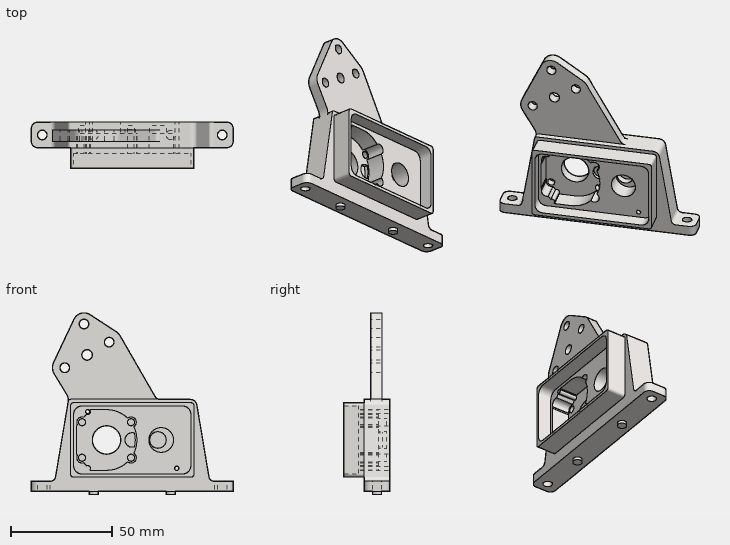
import cadquery as cq


foot_length = 99.87
foot_depth = 12.7
foot_height = 5.08
foot_corner_radius = 3.175
foot_hole_spacing = 88.9
foot_hole_diameter = 4.62
peg_spacing = 38.1
peg_diameter = 4.62
peg_length = 1.6

upright_proud = 0.07
upright_top = 45.5
upright_top_half = 31.5
upright_foot_half = 38.3
upright_foot_fillet = 2.3
upright_left_radius = 1.4
upright_right_radius = 3.5

housing_length = 60.96
housing_height = 36.83
housing_depth = 10.16
housing_center_z = 25.37
housing_corner_radius = 1.5
cavity_length = 57.9
cavity_height = 33.55
cavity_depth = 7.35
cavity_corner_radius = 4.0

front_y = -(foot_depth + housing_depth)
cavity_floor_y = front_y + cavity_depth

shaft_offset = 12.7
motor_x = -shaft_offset
motor_hole_diameter = 13.9
pocket_depth = 9.8
pocket_radius = 15.0
pocket_left = 14.85
pocket_chamfer_x = 6.8
pocket_chamfer_z = 8.0
screw_half_x = 12.1
screw_half_z = 8.77
screw_hole_diameter = 3.5
screw_hole_depth = 4.0
screw_relief_radius = 2.6
pin_boss_radius = 1.35
recess_diameter = 7.2
recess_reach = 14.2
recess_depth = 2.0

pocket_floor_y = cavity_floor_y + pocket_depth

bore_x = 14.3
bore_diameter = 12.23
bore_depth = pocket_depth
inner_bore_diameter = 8.2
inner_bore_depth = 4.0

pin_half_x = 22.0
pin_half_z = 14.0
pin_hole_diameter = 2.0

arm_rear_gap = 3.84
arm_thickness = 5.7
arm_peak = (-26.13, 90.8)
arm_shoulder = (-6.67, 78.1)
arm_elbow = (-40.28, 60.77)
arm_right_root_x = 12.11
arm_left_root_z = 46.1
arm_embed = 5.0
arm_foot_length = 2.5
arm_peak_radius = 5.55
arm_shoulder_radius = 6.0
arm_elbow_radius = 6.0
arm_right_root_fillet = 2.54
arm_left_root_fillet = 5.5
arm_hole_diameter = 4.62
arm_holes = [(-23.85, 82.65), (-11.4, 73.7), (-33.35, 61.05)]
arm_pivot_diameter = 5.08
arm_pivot = (-22.3, 67.4)

edge_reach = 0.2


def prism(sketch, y_start, depth):
    """Extrude an XZ outline from y_start toward +Y by depth."""
    return sketch.extrude(-depth).translate((0, y_start, 0))


def xz():
    return cq.Workplane("XZ")


def cylinder(x, z, diameter, y_start, depth):
    return prism(xz().center(x, z).circle(diameter / 2), y_start, depth)


def rounded_block(length, height, radius, y_start, depth):
    block = prism(xz().center(0, housing_center_z).rect(length, height), y_start, depth)
    return block.edges("|Y").fillet(radius)


def round_corner(body, x, z, radius):
    """Fillet the edge along Y that passes through (x, z)."""
    picker = cq.selectors.BoxSelector(
        (x - edge_reach, -foot_depth, z - edge_reach),
        (x + edge_reach, foot_depth, z + edge_reach),
    )
    return body.edges("|Y").edges(picker).fillet(radius)


def make_foot():
    foot = cq.Workplane("XY").box(foot_length, foot_depth, foot_height, centered=(True, True, False))
    foot = foot.edges("|Z").fillet(foot_corner_radius)
    hole_points = [(-foot_hole_spacing / 2, 0), (foot_hole_spacing / 2, 0)]
    foot = foot.faces(">Z").workplane(origin=(0, 0, 0)).pushPoints(hole_points).hole(foot_hole_diameter)
    peg_points = [(-peg_spacing / 2, 0), (peg_spacing / 2, 0)]
    pegs = cq.Workplane("XY").pushPoints(peg_points).circle(peg_diameter / 2).extrude(-peg_length)
    return foot.union(pegs).translate((0, -foot_depth / 2, 0))


def upright_half_width(z):
    """Half width between the sloping upright sides at height z."""
    taper = (upright_foot_half - upright_top_half) / (upright_top - foot_height)
    return upright_top_half + taper * (upright_top - z)


def make_upright():
    foot_end = upright_foot_half + upright_foot_fillet
    outline = xz().polyline([
        (-foot_end, 0),
        (-foot_end, foot_height),
        (-upright_foot_half, foot_height),
        (-upright_top_half, upright_top),
        (upright_top_half, upright_top),
        (upright_foot_half, foot_height),
        (foot_end, foot_height),
        (foot_end, 0),
    ]).close()
    upright = prism(outline, -foot_depth, foot_depth + upright_proud)
    upright = round_corner(upright, -upright_top_half, upright_top, upright_left_radius)
    upright = round_corner(upright, upright_top_half, upright_top, upright_right_radius)
    for side in (-1, 1):
        upright = round_corner(upright, side * upright_foot_half, foot_height, upright_foot_fillet)
    return upright


def make_arm():
    embed_z = upright_top - arm_embed
    left_root = (-upright_half_width(arm_left_root_z), arm_left_root_z)
    right_end = arm_right_root_x + arm_foot_length
    outline = xz().polyline([
        arm_peak,
        arm_shoulder,
        (arm_right_root_x, upright_top),
        (right_end, upright_top),
        (right_end, embed_z),
        (-upright_half_width(embed_z), embed_z),
        left_root,
        arm_elbow,
    ]).close()
    arm = prism(outline, -arm_rear_gap - arm_thickness, arm_thickness)
    arm = round_corner(arm, *arm_peak, arm_peak_radius)
    arm = round_corner(arm, *arm_shoulder, arm_shoulder_radius)
    arm = round_corner(arm, *arm_elbow, arm_elbow_radius)
    arm = round_corner(arm, arm_right_root_x, upright_top, arm_right_root_fillet)
    arm = round_corner(arm, *left_root, arm_left_root_fillet)
    for x, z in arm_holes:
        arm = arm.cut(cylinder(x, z, arm_hole_diameter, -foot_depth, foot_depth))
    return arm.cut(cylinder(*arm_pivot, arm_pivot_diameter, -foot_depth, foot_depth))


def screw_points():
    return [
        (motor_x + side_x * screw_half_x, housing_center_z + side_z * screw_half_z)
        for side_x in (-1, 1)
        for side_z in (-1, 1)
    ]


def make_pocket():
    left = -pocket_left
    outline = (
        xz().center(motor_x, housing_center_z)
        .moveTo(0, pocket_radius)
        .threePointArc((pocket_radius, 0), (0, -pocket_radius))
        .lineTo(left + pocket_chamfer_x, -pocket_radius)
        .lineTo(left, -pocket_radius + pocket_chamfer_z)
        .lineTo(left, pocket_radius - pocket_chamfer_z)
        .lineTo(left + pocket_chamfer_x, pocket_radius)
        .close()
    )
    pocket = prism(outline, cavity_floor_y, pocket_depth)
    for side_z in (-1, 1):
        boss_z = housing_center_z + side_z * pin_half_z
        pocket = pocket.cut(cylinder(-pin_half_x, boss_z, 2 * pin_boss_radius, cavity_floor_y, pocket_depth))
    for x, z in screw_points():
        pocket = pocket.union(cylinder(x, z, 2 * screw_relief_radius, cavity_floor_y, pocket_depth))
        pocket = pocket.union(cylinder(x, z, screw_hole_diameter, cavity_floor_y, pocket_depth + screw_hole_depth))
    recess = cylinder(0, housing_center_z, recess_diameter, pocket_floor_y, recess_depth)
    reach = cylinder(motor_x, housing_center_z, 2 * recess_reach, pocket_floor_y, recess_depth)
    return pocket.union(recess.intersect(reach))


def make_bores():
    through = -front_y + upright_proud
    bores = cylinder(motor_x, housing_center_z, motor_hole_diameter, front_y, through)
    bores = bores.union(cylinder(bore_x, housing_center_z, bore_diameter, cavity_floor_y, bore_depth))
    inner_depth = bore_depth + inner_bore_depth
    bores = bores.union(
        cylinder(shaft_offset, housing_center_z, inner_bore_diameter, cavity_floor_y, inner_depth)
    )
    for side in (-1, 1):
        pin_z = housing_center_z - side * pin_half_z
        bores = bores.union(cylinder(side * pin_half_x, pin_z, pin_hole_diameter, front_y, through))
    return bores


housing = rounded_block(housing_length, housing_height, housing_corner_radius, front_y, housing_depth)
cavity = rounded_block(cavity_length, cavity_height, cavity_corner_radius, front_y, cavity_depth)

result = make_foot().union(make_upright()).union(make_arm()).union(housing)
result = result.cut(cavity).cut(make_pocket()).cut(make_bores())